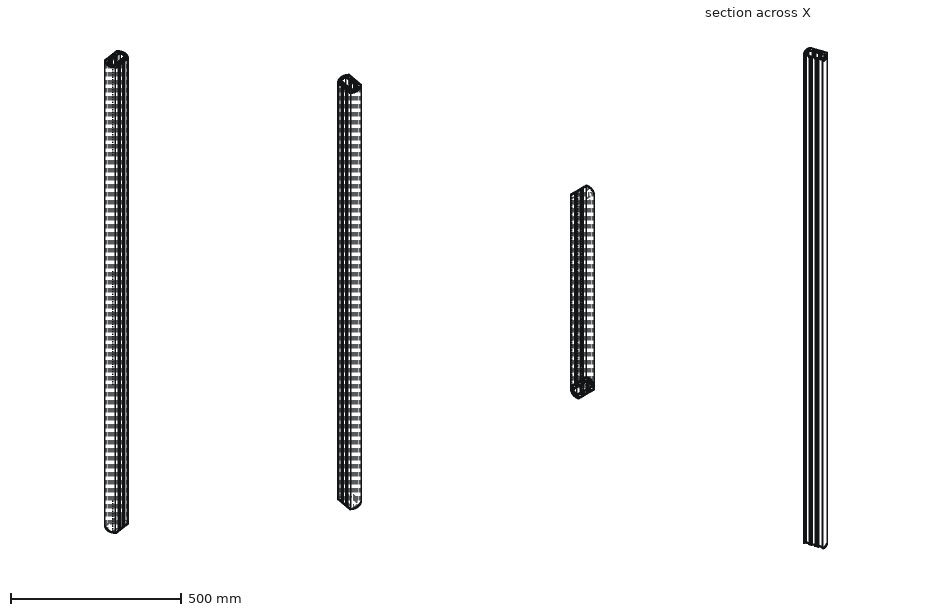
import cadquery as cq

width = 45.0
depth = 70.0
length = 2000.0

wall = 2.5

outer_radius = depth / 2
corner_fillet = 2.0

core_width = 24.5
core_depth = 57.0

web_centres = (6.0, 13.25)
web_overlap = wall / 2


def flat_sided_round(radius, flat_width):
    """Full-length cylinder trimmed to flat_width along X."""
    cylinder = cq.Workplane("XY").circle(radius).extrude(length)
    slab = cq.Workplane("XY").rect(flat_width, 2 * radius).extrude(length)
    return cylinder.intersect(slab)


def make_shell():
    """Outer shell with rounded edges between the flats and the arcs."""
    outside = flat_sided_round(outer_radius, width).edges("|Z").fillet(corner_fillet)
    inside = flat_sided_round(outer_radius - wall, width - 2 * wall)
    return outside.cut(inside)


def make_core():
    """Rectangular tube centred inside the shell."""
    outside = cq.Workplane("XY").rect(core_width, core_depth).extrude(length)
    inside = cq.Workplane("XY").rect(core_width - 2 * wall, core_depth - 2 * wall).extrude(length)
    return outside.cut(inside)


def make_webs():
    """Webs on both X sides, mirrored in Y, sunk partly into the walls they join."""
    inner_x = core_width / 2 - web_overlap
    outer_x = width / 2 - wall + web_overlap
    centre_x = (inner_x + outer_x) / 2
    centres = []
    for centre_y in web_centres:
        for side_x in (-1, 1):
            for side_y in (-1, 1):
                centres.append((side_x * centre_x, side_y * centre_y))
    return cq.Workplane("XY").pushPoints(centres).rect(outer_x - inner_x, wall).extrude(length)


result = make_shell().union(make_core()).union(make_webs())